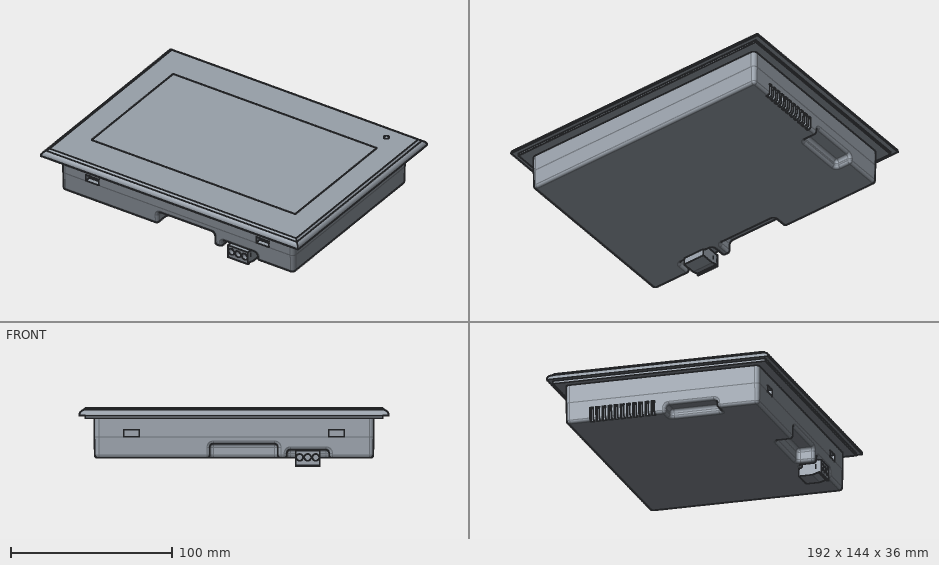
import cadquery as cq
import math

LENGTH = 192.0
WIDTH = 144.0
OVERALL_DEPTH = 36.0

RIM_BOTTOM = 4.8
RIM_INSET = 2.5
BEVEL_DEPTH = 1.3
BEVEL_INSET = 1.5

GASKET_BOTTOM = 6.5
GASKET_LENGTH = 184.7
GASKET_WIDTH = 138.2

SCREEN_LENGTH = 152.0
SCREEN_WIDTH = 90.8
SCREEN_Y = 0.2
LAMP_DIAMETER = 3.5
LAMP_X = 74.1
LAMP_Y = 59.1
FACE_RECESS = 0.2

HOUSING_LENGTH = 173.4
HOUSING_WIDTH = 126.0
HOUSING_CORNER = 2.7
SPLIT_DEPTH = 17.9
HOUSING_DEPTH = 31.1
COVER_DRAFT = 1.5
COVER_EDGE_ROUND = 2.0
EDGE_MARGIN = 1.0
FRONT_Y = -HOUSING_WIDTH / 2
SIDE_X = -HOUSING_LENGTH / 2

LATCH_SPACING = 127.1
LATCH_LENGTH = 9.6
LATCH_HEIGHT = 4.2
LATCH_DEPTH = 3.8

BAY_DEPTH = 11.5
BAY_ROUND = 2.1
BAY_OVERHANG = 2 * BAY_ROUND
PORT_BAY = (-15.0, 27.0, 22.3)
POWER_BAY = (32.8, 59.0, 26.0)
SIDE_BAY = (-35.5, -2.1, 25.7)

SLOT_COUNT = 11
SLOT_ROW_LENGTH = 40.0
SLOT_PITCH = SLOT_ROW_LENGTH / (SLOT_COUNT - 1)
SLOT_WIDTH = 2.1
SLOT_FIRST_Y = 6.0
SLOT_TOP = 22.7
SLOT_DEPTH = 2.9

BLOCK_LENGTH = 15.0
BLOCK_X = 45.7
BLOCK_FRONT_Y = -63.7
BLOCK_BACK_Y = -49.2
BLOCK_TOP = 26.7
BLOCK_LIP_BOTTOM = 35.5
BLOCK_LIP_WIDTH = 1.2
BLOCK_GROOVE_TOP = 34.8
BLOCK_FLAT_FRONT_Y = -58.0
WIRE_COUNT = 3
WIRE_PITCH = 5.0
WIRE_DIAMETER = 4.2
WIRE_HOLE_DEPTH = 3.8
WIRE_HOLE_Z = -30.7


def box_between(x_range, y_range, z_range):
    """Axis-aligned box spanning the three given (low, high) ranges."""
    sizes = [high - low for low, high in (x_range, y_range, z_range)]
    corner = (x_range[0], y_range[0], z_range[0])
    return cq.Workplane("XY").box(*sizes, centered=False).translate(corner)


def slab(length, width, top, bottom):
    """Centred rectangular plate between two depths below the bezel face."""
    return box_between((-length / 2, length / 2), (-width / 2, width / 2), (-bottom, -top))


def bezel_bar(plane, span, reach):
    """Bezel cross-section across one side, swept straight along the other side."""
    half = span / 2
    rim_height = RIM_BOTTOM - BEVEL_DEPTH
    rim_radius = (RIM_INSET**2 + rim_height**2) / (2 * RIM_INSET)
    arc_drop = rim_height / 2
    arc_inset = rim_radius - math.sqrt(rim_radius**2 - arc_drop**2)
    bevel_edge = half - RIM_INSET
    top_edge = bevel_edge - BEVEL_INSET
    return (
        cq.Workplane(plane)
        .moveTo(-half, -RIM_BOTTOM)
        .threePointArc((arc_inset - half, arc_drop - RIM_BOTTOM), (-bevel_edge, -BEVEL_DEPTH))
        .lineTo(-top_edge, 0)
        .lineTo(top_edge, 0)
        .lineTo(bevel_edge, -BEVEL_DEPTH)
        .threePointArc((half - arc_inset, arc_drop - RIM_BOTTOM), (half, -RIM_BOTTOM))
        .close()
        .extrude(reach / 2, both=True)
    )


def make_bezel():
    rim = bezel_bar("XZ", LENGTH, WIDTH).intersect(bezel_bar("YZ", WIDTH, LENGTH))
    gasket = slab(GASKET_LENGTH, GASKET_WIDTH, RIM_BOTTOM, GASKET_BOTTOM)
    return rim.union(gasket)


def make_face_recesses():
    top_face = cq.Workplane("XY")
    screen = top_face.center(0, SCREEN_Y).rect(SCREEN_LENGTH, SCREEN_WIDTH).extrude(-FACE_RECESS)
    lamp = top_face.center(LAMP_X, LAMP_Y).circle(LAMP_DIAMETER / 2).extrude(-FACE_RECESS)
    return screen.union(lamp)


def edges_within(x_range, y_range, z_range):
    """Selector for the edges whose centres lie inside the given ranges."""
    low, high = zip(x_range, y_range, z_range)
    return cq.selectors.BoxSelector(low, high)


def make_housing():
    outline = cq.Sketch().rect(HOUSING_LENGTH, HOUSING_WIDTH).vertices().fillet(HOUSING_CORNER)
    split = cq.Workplane("XY", origin=(0, 0, -SPLIT_DEPTH))
    frame = split.placeSketch(outline).extrude(SPLIT_DEPTH - GASKET_BOTTOM)
    cover = split.placeSketch(outline).extrude(SPLIT_DEPTH - HOUSING_DEPTH, taper=COVER_DRAFT)
    for bay in (front_bay(*PORT_BAY), front_bay(*POWER_BAY), side_bay(*SIDE_BAY)):
        cover = cover.cut(bay)

    full_x = (SIDE_X, -SIDE_X)
    full_y = (FRONT_Y, -FRONT_Y)
    wall_z = (-HOUSING_DEPTH, -PORT_BAY[2] + EDGE_MARGIN)
    front_x = (PORT_BAY[0] - EDGE_MARGIN, POWER_BAY[1] + EDGE_MARGIN)
    side_y = (SIDE_BAY[0] - EDGE_MARGIN, SIDE_BAY[1] + EDGE_MARGIN)
    rear_rim = edges_within(full_x, full_y, (-HOUSING_DEPTH - EDGE_MARGIN, -HOUSING_DEPTH + EDGE_MARGIN))
    front_mouths = edges_within(front_x, (FRONT_Y, FRONT_Y + EDGE_MARGIN), wall_z)
    side_mouth = edges_within((SIDE_X, SIDE_X + EDGE_MARGIN), side_y, wall_z)
    cover = cover.edges(rear_rim + front_mouths + side_mouth).fillet(COVER_EDGE_ROUND)
    return frame.union(cover)


def make_latch_windows():
    window = cq.Workplane("XY").box(LATCH_LENGTH, 2 * LATCH_DEPTH, LATCH_HEIGHT)
    height = LATCH_HEIGHT / 2 - SPLIT_DEPTH
    left = window.translate((-LATCH_SPACING / 2, FRONT_Y, height))
    right = window.translate((LATCH_SPACING / 2, FRONT_Y, height))
    return left.union(right)


def bay_height(ceiling):
    """Z range of a bay, running past the rear face so only its inner edges stay rounded."""
    return (-HOUSING_DEPTH - BAY_OVERHANG, -ceiling)


def front_bay(start, end, ceiling):
    reach = (FRONT_Y - BAY_OVERHANG, FRONT_Y + BAY_DEPTH)
    return box_between((start, end), reach, bay_height(ceiling)).edges().fillet(BAY_ROUND)


def side_bay(start, end, ceiling):
    reach = (SIDE_X - BAY_OVERHANG, SIDE_X + BAY_DEPTH)
    return box_between(reach, (start, end), bay_height(ceiling)).edges().fillet(BAY_ROUND)


def make_vent_slots():
    centers = [(SIDE_X, SLOT_FIRST_Y + i * SLOT_PITCH) for i in range(SLOT_COUNT)]
    return (
        cq.Workplane("XY", origin=(0, 0, -HOUSING_DEPTH))
        .pushPoints(centers)
        .rect(2 * SLOT_DEPTH, SLOT_WIDTH)
        .extrude(HOUSING_DEPTH - SLOT_TOP)
    )


def make_terminal_block():
    lip_back = BLOCK_FRONT_Y + BLOCK_LIP_WIDTH
    profile = [
        (BLOCK_BACK_Y, -BLOCK_TOP),
        (BLOCK_FRONT_Y, -BLOCK_TOP),
        (BLOCK_FRONT_Y, -BLOCK_LIP_BOTTOM),
        (lip_back, -BLOCK_LIP_BOTTOM),
        (lip_back, -BLOCK_GROOVE_TOP),
        (BLOCK_FLAT_FRONT_Y, -OVERALL_DEPTH),
        (BLOCK_BACK_Y, -OVERALL_DEPTH),
    ]
    block = (
        cq.Workplane("YZ", origin=(BLOCK_X, 0, 0))
        .polyline(profile)
        .close()
        .extrude(BLOCK_LENGTH / 2, both=True)
    )
    wire_holes = (
        cq.Workplane("XZ", origin=(BLOCK_X, BLOCK_FRONT_Y, WIRE_HOLE_Z))
        .rarray(WIRE_PITCH, 2, WIRE_COUNT, 1)
        .circle(WIRE_DIAMETER / 2)
        .extrude(-WIRE_HOLE_DEPTH)
    )
    return block.cut(wire_holes)


housing = make_housing().cut(make_latch_windows()).cut(make_vent_slots())

result = make_bezel().cut(make_face_recesses()).union(housing).union(make_terminal_block())